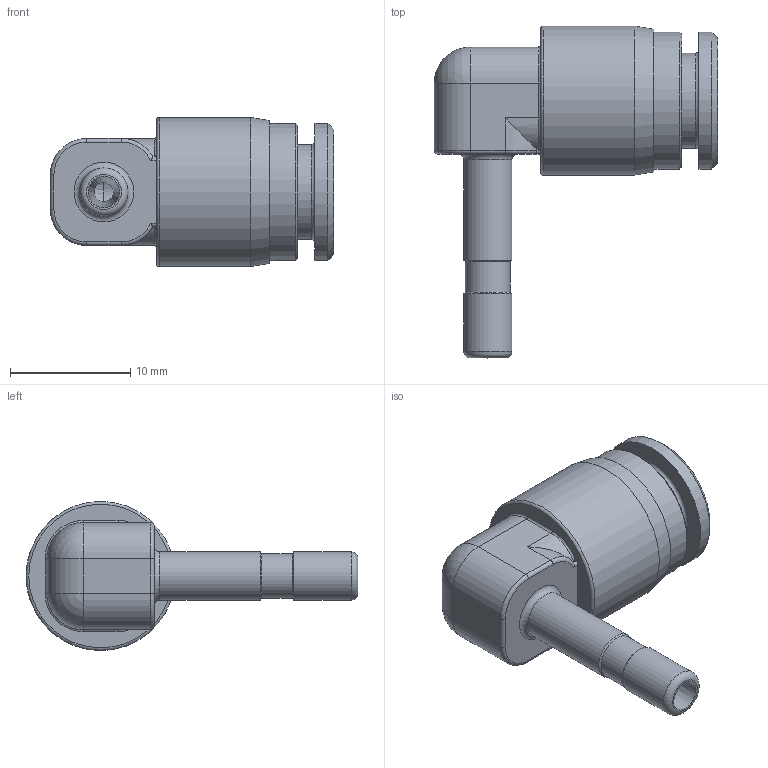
import cadquery as cq
import math


ELBOW_HALF = 4.45
ELBOW_ROUND = 3.0
LEDGE_HEIGHT = 2.92
FRONT_EDGE_ROUND = 0.3
JOINT_ROUND = 0.17
JOINT_LENGTH = 0.25
JOINT_TOLERANCE = 0.05

SLEEVE_START = 4.38
SLEEVE_TAPER_START = 12.2
SLEEVE_END = 13.8
COLLAR_END = 16.1
RING_START = 17.55
RING_END = 19.1

SLEEVE_RADIUS = 6.2
SLEEVE_TAPER_RADIUS = 5.93
SLEEVE_EDGE_ROUND = 0.23
COLLAR_RADIUS = 5.7
COLLAR_CHAMFER = 0.15
NECK_RADIUS = 3.95
NECK_FILLET = 0.28
RING_CHAMFER = 0.48

STEM_RADIUS = 2.0
STEM_LENGTH = 21.4
STEM_ROOT_FILLET = 0.48
STEM_TIP_ROUND = 0.55
GROOVE_START = 13.28
GROOVE_END = 16.05
GROOVE_DEPTH = 0.13

SLEEVE_BORE_RADIUS = 1.6
STEM_BORE_RADIUS = 0.8
STEM_MOUTH_RADIUS = 1.31

ARC_MIDDLE = 1 - math.sqrt(0.5)


def make_relief(plane):
    """Prism above a rounded shoulder and its ledge, running both ways from the plane."""
    center = ELBOW_HALF - ELBOW_ROUND
    ledge_angle = math.asin((LEDGE_HEIGHT - center) / ELBOW_ROUND)
    middle_angle = (math.pi / 2 + ledge_angle) / 2

    def on_shoulder(angle):
        return (center + ELBOW_ROUND * math.cos(angle), center + ELBOW_ROUND * math.sin(angle))

    return (
        cq.Workplane(plane)
        .moveTo(center, ELBOW_HALF)
        .threePointArc(on_shoulder(middle_angle), on_shoulder(ledge_angle))
        .lineTo(ELBOW_HALF, LEDGE_HEIGHT)
        .lineTo(ELBOW_HALF, ELBOW_HALF)
        .close()
        .extrude(ELBOW_HALF, both=True)
    )


def make_elbow():
    """Rounded block with stepped-in corners above and below the inside of the bend."""
    size = 2 * ELBOW_HALF
    block = cq.Workplane("XY").box(size, size, size)
    block = block.edges("(<X and |Y) or (>Y and |X) or (<X and >Y)").fillet(ELBOW_ROUND)

    facing_sleeve = cq.Plane(origin=(0, 0, 0), xDir=(1, 0, 0), normal=(0, -1, 0))
    facing_stem = cq.Plane(origin=(0, 0, 0), xDir=(0, -1, 0), normal=(-1, 0, 0))
    corner = make_relief(facing_sleeve).intersect(make_relief(facing_stem))
    block = block.cut(corner).cut(corner.mirror("XY"))

    return block.faces("<Y").edges("not >X").fillet(FRONT_EDGE_ROUND)


def make_sleeve():
    """Turned sleeve, collar and release ring about the X axis."""
    edge_mid = SLEEVE_EDGE_ROUND * ARC_MIDDLE
    neck_mid = NECK_FILLET * ARC_MIDDLE
    return (
        cq.Workplane("XY")
        .moveTo(SLEEVE_START, 0)
        .lineTo(SLEEVE_START, SLEEVE_RADIUS - SLEEVE_EDGE_ROUND)
        .threePointArc(
            (SLEEVE_START + edge_mid, SLEEVE_RADIUS - edge_mid),
            (SLEEVE_START + SLEEVE_EDGE_ROUND, SLEEVE_RADIUS),
        )
        .lineTo(SLEEVE_TAPER_START, SLEEVE_RADIUS)
        .lineTo(SLEEVE_END, SLEEVE_TAPER_RADIUS)
        .lineTo(SLEEVE_END, COLLAR_RADIUS)
        .lineTo(COLLAR_END - COLLAR_CHAMFER, COLLAR_RADIUS)
        .lineTo(COLLAR_END, COLLAR_RADIUS - COLLAR_CHAMFER)
        .lineTo(COLLAR_END, NECK_RADIUS)
        .lineTo(RING_START - NECK_FILLET, NECK_RADIUS)
        .threePointArc(
            (RING_START - neck_mid, NECK_RADIUS + neck_mid),
            (RING_START, NECK_RADIUS + NECK_FILLET),
        )
        .lineTo(RING_START, COLLAR_RADIUS)
        .lineTo(RING_END - RING_CHAMFER, COLLAR_RADIUS)
        .lineTo(RING_END, COLLAR_RADIUS - RING_CHAMFER)
        .lineTo(RING_END, 0)
        .close()
        .revolve(360, (0, 0, 0), (1, 0, 0))
    )


def make_stem():
    """Turned stem with a shallow groove, from inside the elbow to its tip."""
    root_mid = STEM_ROOT_FILLET * ARC_MIDDLE
    tip_mid = STEM_TIP_ROUND * ARC_MIDDLE
    groove_radius = STEM_RADIUS - GROOVE_DEPTH
    return (
        cq.Workplane("XY")
        .lineTo(STEM_RADIUS + STEM_ROOT_FILLET, 0)
        .lineTo(STEM_RADIUS + STEM_ROOT_FILLET, -ELBOW_HALF)
        .threePointArc(
            (STEM_RADIUS + root_mid, -ELBOW_HALF - root_mid),
            (STEM_RADIUS, -ELBOW_HALF - STEM_ROOT_FILLET),
        )
        .lineTo(STEM_RADIUS, -GROOVE_START)
        .lineTo(groove_radius, -GROOVE_START - GROOVE_DEPTH)
        .lineTo(groove_radius, -GROOVE_END + GROOVE_DEPTH)
        .lineTo(STEM_RADIUS, -GROOVE_END)
        .lineTo(STEM_RADIUS, -STEM_LENGTH + STEM_TIP_ROUND)
        .threePointArc(
            (STEM_RADIUS - tip_mid, -STEM_LENGTH + tip_mid),
            (STEM_RADIUS - STEM_TIP_ROUND, -STEM_LENGTH),
        )
        .lineTo(0, -STEM_LENGTH)
        .close()
        .revolve(360, (0, 0, 0), (0, 1, 0))
    )


def make_passage():
    """Tapered stem bore opening into a straight sleeve bore with a ball end."""
    stem_bore = (
        cq.Workplane("XY")
        .lineTo(STEM_BORE_RADIUS, 0)
        .lineTo(STEM_BORE_RADIUS, -ELBOW_HALF)
        .lineTo(STEM_MOUTH_RADIUS, -STEM_LENGTH)
        .lineTo(0, -STEM_LENGTH)
        .close()
        .revolve(360, (0, 0, 0), (0, 1, 0))
    )
    sleeve_bore = cq.Workplane("YZ").circle(SLEEVE_BORE_RADIUS).extrude(RING_END)
    ball_end = cq.Workplane("XY").sphere(SLEEVE_BORE_RADIUS)
    return stem_bore.union(sleeve_bore).union(ball_end)


def make_joint():
    """Flare around the elbow where it meets the sleeve, ending at the front ledges."""
    size = 2 * ELBOW_HALF
    reach = ELBOW_HALF + JOINT_TOLERANCE
    sleeve_face = cq.Workplane("YZ", origin=(SLEEVE_START, 0, 0))
    plate = sleeve_face.circle(SLEEVE_TAPER_RADIUS).extrude(JOINT_LENGTH)
    shank = (
        sleeve_face.rect(size, size)
        .extrude(-JOINT_LENGTH)
        .edges("|X")
        .fillet(ELBOW_ROUND)
    )
    around_shank = cq.selectors.BoxSelector(
        (SLEEVE_START - JOINT_TOLERANCE, -reach, -reach),
        (SLEEVE_START + JOINT_TOLERANCE, reach, reach),
        boundingbox=True,
    )
    flare = plate.union(shank).edges(around_shank).fillet(JOINT_ROUND)

    center = ELBOW_HALF - ELBOW_ROUND
    ledge_y = -center - math.sqrt(ELBOW_ROUND**2 - (LEDGE_HEIGHT - center) ** 2)
    front_trim = (
        cq.Workplane("XZ", origin=(SLEEVE_START, ledge_y, 0))
        .rect(size, 2 * SLEEVE_RADIUS)
        .extrude(SLEEVE_RADIUS)
    )
    return flare.cut(front_trim)


fitting = make_elbow().union(make_sleeve()).union(make_joint()).union(make_stem())
result = fitting.cut(make_passage())